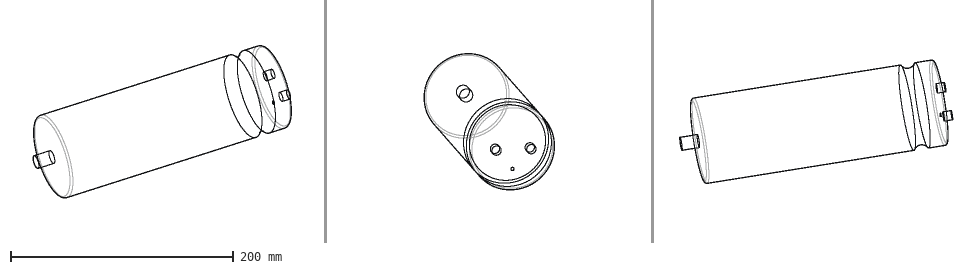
import cadquery as cq

overall_length = 245.5
can_diameter = 78.0
rim_fillet = 2.0

stud_diameter = 12.0
stud_length = 16.0

terminal_diameter = 8.5
terminal_length = 7.5
terminal_spacing = 32.0

groove_width = 13.5
groove_depth = 4.0
groove_to_terminal_face = 23.5

vent_diameter = 3.0
vent_height = 0.7
vent_offset = 19.2

can_radius = can_diameter / 2
stud_tip = -overall_length / 2
stud_face = stud_tip + stud_length
terminal_face = overall_length / 2 - terminal_length
groove_centre = terminal_face - groove_to_terminal_face


def make_can():
    """Revolve the can about Y, with its arc-shaped crimp groove and rounded rims."""
    outline = (
        cq.Workplane("XY")
        .moveTo(0, stud_face)
        .lineTo(can_radius, stud_face)
        .lineTo(can_radius, groove_centre - groove_width / 2)
        .threePointArc(
            (can_radius - groove_depth, groove_centre),
            (can_radius, groove_centre + groove_width / 2),
        )
        .lineTo(can_radius, terminal_face)
        .lineTo(0, terminal_face)
        .close()
    )
    can = outline.revolve(360, (0, 0, 0), (0, 1, 0))
    return can.faces("<Y or >Y").edges().fillet(rim_fillet)


def make_pin(diameter, start, end, x=0.0, z=0.0):
    """Round pin parallel to Y, from one Y station to another."""
    base = cq.Plane(origin=(x, start, z), xDir=(1, 0, 0), normal=(0, 1, 0))
    return cq.Workplane(base).circle(diameter / 2).extrude(end - start)


result = make_can()
result = result.union(make_pin(stud_diameter, stud_tip, stud_face))
for side in (-1, 1):
    terminal = make_pin(
        terminal_diameter,
        terminal_face,
        terminal_face + terminal_length,
        x=side * terminal_spacing / 2,
    )
    result = result.union(terminal)
vent = make_pin(vent_diameter, terminal_face, terminal_face + vent_height, z=-vent_offset)
result = result.union(vent)